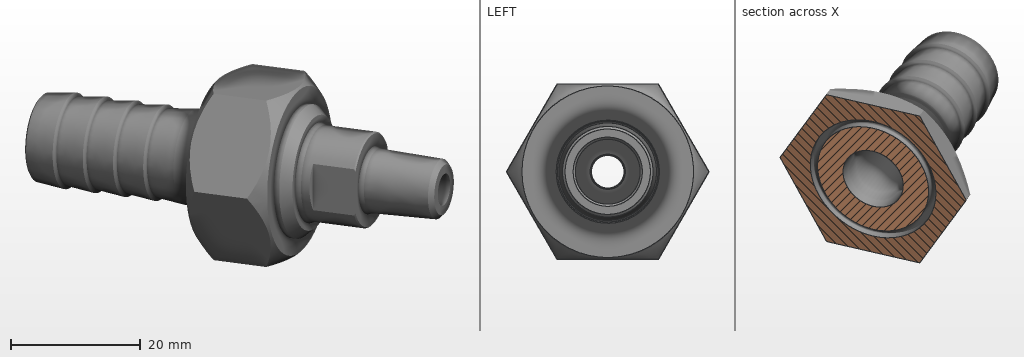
import cadquery as cq
import math

overall_length = 67.0
nut_start = 29.5
nut_width = 13.55
nut_end = nut_start + nut_width
shank_start = 46.3
shank_end = 54.95

tail_radius = 15.0 / 2
tail_bore_radius = 10.0 / 2
tail_bore_chamfer = 0.35
tail_face_radius = 6.55
tail_tip_chamfer = 0.35
barb_root_radius = 7.0
barb_count = 5
first_barb_ridge = 4.95
barb_pitch = 5.0
barb_back_length = 0.4
collar_radius = 18.6 / 2
collar_width = 2.7

nut_across_flats = 27.0
nut_face_radius = 13.2
nut_hole_radius = 15.5 / 2
nut_hole_chamfer = 0.2
nut_lip = 2.7

thread_radius = 20.9 / 2
shoulder_radius = 18.0 / 2
shoulder_start = 43.9
shoulder_end = 45.5
undercut_radius = 7.85
nipple_bore_radius = 5.0 / 2
nipple_bore_chamfer = 0.2
shank_radius = tail_radius
shank_chamfer = 0.2
wrench_flat_distance = 6.5
wrench_flat_start = 47.9
wrench_flat_run_in = 0.2
spigot_root_radius = 5.3
spigot_root_length = 0.8
spigot_start_radius = 5.0
spigot_taper = 1 / 16
spigot_tip_chamfer = 0.75

collar_start = nut_start + nut_lip
joint = collar_start + collar_width


def revolve_about_x(profile):
    """Turn a closed (x, radius) profile about the X axis."""
    return cq.Workplane("XY").polyline(profile).close().revolve(360, (0, 0, 0), (1, 0, 0))


def make_hose_tail():
    """Barbed tube with a collar that the nut lip pulls against the nipple."""
    profile = [
        (0, tail_bore_radius + tail_bore_chamfer),
        (0, tail_face_radius),
        (tail_tip_chamfer, barb_root_radius),
    ]
    for barb in range(barb_count - 1):
        ridge = first_barb_ridge + barb * barb_pitch
        profile.append((ridge, tail_radius))
        profile.append((ridge + barb_back_length, barb_root_radius))
    last_barb_end = first_barb_ridge + (barb_count - 1) * barb_pitch
    profile += [
        (last_barb_end, tail_radius),
        (collar_start, tail_radius),
        (collar_start, collar_radius),
        (joint, collar_radius),
        (joint, tail_bore_radius),
        (tail_bore_chamfer, tail_bore_radius),
    ]
    return revolve_about_x(profile)


def make_union_nut():
    """Hexagon with 45 degree corner chamfers, a lip and a threaded bore."""
    corner_radius = nut_across_flats / math.sqrt(3)
    corner_chamfer = corner_radius - nut_face_radius
    hexagon = (
        cq.Workplane("YZ", origin=(nut_start, 0, 0))
        .polygon(6, 2 * corner_radius)
        .extrude(nut_width)
    )
    turned_blank = revolve_about_x([
        (nut_start + nut_hole_chamfer, nut_hole_radius),
        (nut_start, nut_hole_radius + nut_hole_chamfer),
        (nut_start, nut_face_radius),
        (nut_start + corner_chamfer, corner_radius),
        (nut_end - corner_chamfer, corner_radius),
        (nut_end, nut_face_radius),
        (nut_end, thread_radius),
        (collar_start, thread_radius),
        (collar_start, nut_hole_radius),
    ])
    return hexagon.intersect(turned_blank)


def make_flat_cutter():
    """Material removed beside one wrench flat, with a slightly sloping run-in wall."""
    cutter_height = 2 * shank_radius
    return (
        cq.Workplane("XY", origin=(0, 0, -cutter_height / 2))
        .polyline([
            (wrench_flat_start, wrench_flat_distance),
            (wrench_flat_start - wrench_flat_run_in, shank_radius),
            (shank_end, shank_radius),
            (shank_end, wrench_flat_distance),
        ])
        .close()
        .extrude(cutter_height)
    )


def make_nipple():
    """Threaded head, shank with two wrench flats and a tapered spigot."""
    spigot_start = shank_end + spigot_root_length
    spigot_end = overall_length - spigot_tip_chamfer
    spigot_end_radius = spigot_start_radius - (spigot_end - spigot_start) * spigot_taper / 2
    nipple = revolve_about_x([
        (joint + nipple_bore_chamfer, nipple_bore_radius),
        (joint, nipple_bore_radius + nipple_bore_chamfer),
        (joint, thread_radius),
        (shoulder_start, thread_radius),
        (shoulder_end, shoulder_radius),
        (shoulder_end, undercut_radius),
        (shank_start, shank_radius),
        (shank_end - shank_chamfer, shank_radius),
        (shank_end, shank_radius - shank_chamfer),
        (shank_end, spigot_root_radius),
        (spigot_start, spigot_start_radius),
        (spigot_end, spigot_end_radius),
        (overall_length, spigot_end_radius - spigot_tip_chamfer),
        (overall_length, nipple_bore_radius),
    ])
    cutter = make_flat_cutter()
    return nipple.cut(cutter).cut(cutter.mirror("XZ"))


hose_tail = make_hose_tail()
union_nut = make_union_nut()
nipple = make_nipple()

result = cq.Compound.makeCompound([hose_tail.val(), union_nut.val(), nipple.val()])